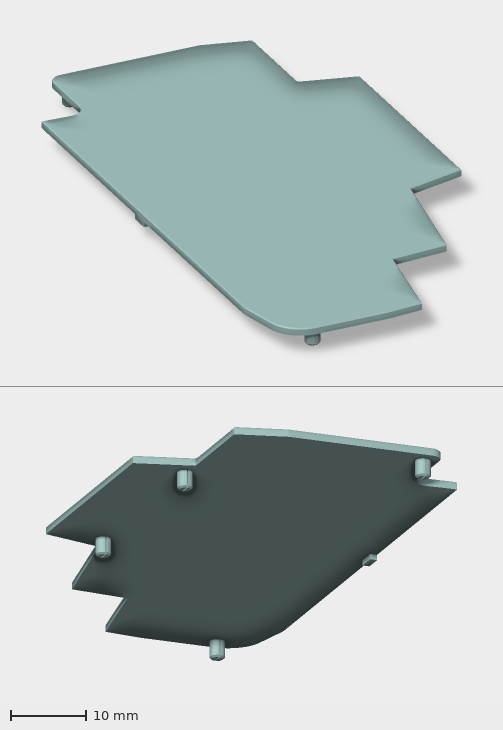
import cadquery as cq

length = 83.2
width = 44.0
plate_thickness = 1.1
top_edge_chamfer = 0.2
total_height = 3.5

left_shelf_y = 35.9
left_slope_start_y = 28.8
lower_notch_y = 6.5
lower_notch_x = 11.8
bottom_left_x = 11.6
bottom_slope_x = 73.75
bottom_slope_end_y = 2.1

blend_radius = 5.0
notch_inner_radius = 2.25
notch_outer_radius = 1.7
step_radius = 0.5

pin_diameter = 2.1
pin_chamfer = 0.25
pin_slit_width = 0.2
pin_length = total_height - plate_thickness
pin_centers = [(2.4, 8.6), (81.0, 6.6), (18.6, 36.2), (47.8, 36.2)]

tab_x = 40.2
tab_length = 2.75
tab_width = 1.0
tab_height = 0.75

corners = [
    (bottom_left_x, 0, 0),
    (bottom_slope_x, 0, blend_radius),
    (length, bottom_slope_end_y, blend_radius),
    (length, 16.65, 0),
    (82.7, 21.9, 0),
    (69.0, 24.2, step_radius),
    (68.3, 32.5, 0),
    (50.9, 35.5, step_radius),
    (48.8, width, 0),
    (17.65, width, 0),
    (15.6, left_shelf_y, step_radius),
    (1.75, left_shelf_y, 0),
    (0, left_slope_start_y, 0),
    (0, lower_notch_y, notch_outer_radius),
    (lower_notch_x, lower_notch_y, notch_inner_radius),
]


def make_plate():
    outline = [(x, y) for x, y, _ in corners]
    plate = cq.Workplane("XY").polyline(outline).close().extrude(plate_thickness)
    for x, y, radius in corners:
        if radius > 0:
            corner_edge = cq.selectors.NearestToPointSelector((x, y, plate_thickness / 2))
            plate = plate.edges("|Z").edges(corner_edge).fillet(radius)
    return plate.faces(">Z").edges().chamfer(top_edge_chamfer)


def make_pins():
    pins = cq.Workplane("XY").pushPoints(pin_centers).circle(pin_diameter / 2).extrude(-pin_length)
    pins = pins.faces("<Z").edges().chamfer(pin_chamfer)
    slits = (
        cq.Workplane("XY")
        .pushPoints(pin_centers)
        .rect(pin_diameter, pin_slit_width)
        .extrude(-pin_length)
    )
    return pins.cut(slits)


def make_tab():
    return cq.Workplane("XY").box(tab_length, tab_width, tab_height, centered=False).translate(
        (tab_x, 0, -tab_height)
    )


result = make_plate().union(make_pins()).union(make_tab())